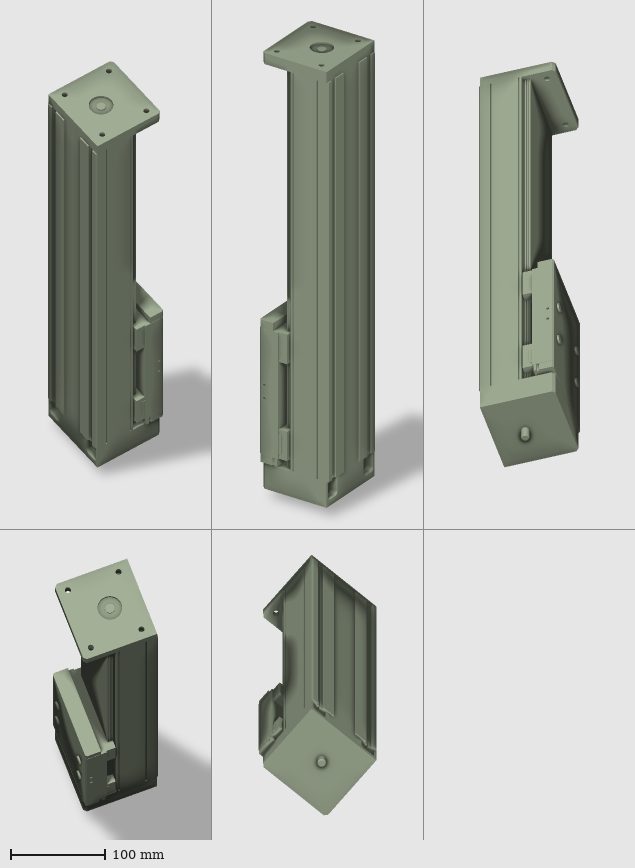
import cadquery as cq


total_length = 532.5
body_width = 90.0
front_y = -37.0
back_y = 46.5
end_edge_chamfer = 3.0

shaft_diameter = 9.0
shaft_length = 13.0
shaft_tip_chamfer = 1.0
block_height = 30.5
block_bottom_z = shaft_length
block_top_z = block_bottom_z + block_height
pocket_width = 18.0
pocket_height = 23.0
pocket_depth = 9.0
pocket_corner_radius = 5.0

plate_thickness = 13.5
plate_bottom_z = total_length - plate_thickness
plate_hole_diameter = 6.5
plate_hole_spacing_x = 68.5
plate_hole_spacing_y = 57.5
plate_hole_center_y = 6.0
bearing_recess_diameter = 26.0
bearing_recess_depth = 3.0
spindle_boss_diameter = 10.0
spindle_boss_height = 1.5

profile_length = plate_bottom_z - block_top_z
profile_front_y = -38.5
profile_back_y = 17.5
profile_edge_chamfer = 1.5
front_recess_width = 30.0
front_recess_depth = profile_edge_chamfer
center_mark_width = 0.5
center_mark_depth = 0.5
slot_x = 33.5
slot_mouth_width = 8.0
slot_throat_width = 1.5
slot_mouth_depth = 2.0
slot_total_depth = 6.5
side_groove_size = 1.5
side_groove_y = -24.5
rail_groove_size = 1.5
rail_groove_y = 6.5
land_groove_count = 3
back_land_width = 79.5
back_land_height = 8.0

carriage_width = 100.0
carriage_front_y = 22.5
carriage_length = 150.5
carriage_bottom_z = 56.0
carriage_top_z = carriage_bottom_z + carriage_length
carriage_mid_z = carriage_bottom_z + carriage_length / 2
carriage_edge_chamfer = 1.5
cap_width = 99.5
cap_length = 9.5
top_cap_front_y = 29.0
bottom_cap_front_y = 24.0
cap_groove_diameter = 3.25
cap_groove_y = 29.0
saddle_width = 97.0
saddle_length = 35.0
saddle_front_y = 11.5
lug_width = 98.0
lug_length = 23.5
lug_depth = 3.0
sleeve_diameter = 10.0
sleeve_height = 2.0
sleeve_spacing_x = 65.0
sleeve_spacing_z = 50.0
side_hole_diameter = 3.25
side_hole_depth = 5.5
side_hole_spacing = 16.0
side_hole_y = 40.0


def block_between(width, y_min, y_max, z_min, z_max):
    """Box centred on X with the given limits along Y and Z."""
    return cq.Workplane("XY").box(
        width, y_max - y_min, z_max - z_min, centered=(True, False, False)
    ).translate((0, y_min, z_min))


def end_body(z_min, z_max):
    """Rectangular end body with its two long +Y edges chamfered."""
    body = block_between(body_width, front_y, back_y, z_min, z_max)
    return body.edges("|Z and >Y").chamfer(end_edge_chamfer)


def make_drive_block():
    block = end_body(block_bottom_z, block_top_z)
    for side in (-1, 1):
        pocket = block_between(
            pocket_width, front_y, front_y + pocket_depth, block_top_z - pocket_height, block_top_z
        ).edges("|Y and <Z").fillet(pocket_corner_radius)
        block = block.cut(pocket.translate((side * slot_x, 0, 0)))
    shaft = (
        cq.Workplane("XY")
        .circle(shaft_diameter / 2)
        .extrude(shaft_length)
        .faces("<Z")
        .chamfer(shaft_tip_chamfer)
    )
    return block.union(shaft)


def make_end_plate():
    plate = end_body(plate_bottom_z, total_length)
    plate_holes = (
        cq.Workplane("XY", origin=(0, plate_hole_center_y, plate_bottom_z))
        .rect(plate_hole_spacing_x, plate_hole_spacing_y, forConstruction=True)
        .vertices()
        .circle(plate_hole_diameter / 2)
        .extrude(plate_thickness)
    )
    recess = (
        cq.Workplane("XY", origin=(0, 0, total_length - bearing_recess_depth))
        .circle(bearing_recess_diameter / 2)
        .extrude(bearing_recess_depth)
    )
    spindle_boss = (
        cq.Workplane("XY", origin=(0, 0, total_length - bearing_recess_depth))
        .circle(spindle_boss_diameter / 2)
        .extrude(spindle_boss_height)
    )
    return plate.cut(plate_holes).cut(recess).union(spindle_boss)


def profile_prism(points):
    """Closed outline in XY, extruded over the length of the profile."""
    return (
        cq.Workplane("XY", origin=(0, 0, block_top_z))
        .polyline(points)
        .close()
        .extrude(profile_length)
    )


def front_slot():
    """Stepped slot: a wide shallow mouth with a narrow throat in its floor."""
    mouth = block_between(
        slot_mouth_width, profile_front_y, profile_front_y + slot_mouth_depth, block_top_z, plate_bottom_z
    )
    throat = block_between(
        slot_throat_width, profile_front_y, profile_front_y + slot_total_depth, block_top_z, plate_bottom_z
    )
    return mouth.union(throat)


def side_grooves(width, center_y, size):
    """Square groove in each X side of a profile stretch of the given width."""
    outer = block_between(
        width, center_y - size / 2, center_y + size / 2, block_top_z, plate_bottom_z
    )
    core = block_between(
        width - 2 * size, center_y - size / 2, center_y + size / 2, block_top_z, plate_bottom_z
    )
    return outer.cut(core)


def make_profile():
    shoulder_y = profile_back_y - back_land_height
    profile = block_between(body_width, profile_front_y, shoulder_y, block_top_z, plate_bottom_z)
    profile = profile.edges("|Z and <Y").chamfer(profile_edge_chamfer)
    back_land = block_between(back_land_width, shoulder_y, profile_back_y, block_top_z, plate_bottom_z)
    profile = profile.union(back_land)
    recess_y = profile_front_y + front_recess_depth
    profile = profile.cut(
        block_between(front_recess_width, profile_front_y, recess_y, block_top_z, plate_bottom_z)
    )
    profile = profile.cut(profile_prism([
        (-center_mark_width / 2, recess_y),
        (center_mark_width / 2, recess_y),
        (0, recess_y + center_mark_depth),
    ]))
    for side in (-1, 1):
        profile = profile.cut(front_slot().translate((side * slot_x, 0, 0)))
    profile = profile.cut(side_grooves(body_width, side_groove_y, side_groove_size))
    profile = profile.cut(side_grooves(body_width, rail_groove_y, rail_groove_size))
    for index in range(land_groove_count):
        groove_y = shoulder_y + back_land_height * (index + 0.5) / land_groove_count
        profile = profile.cut(side_grooves(back_land_width, groove_y, rail_groove_size))
    return profile


def saddle(z_min):
    """Bearing saddle that sits on the back land of the profile and grips its two sides."""
    outer = block_between(
        saddle_width, saddle_front_y, carriage_front_y, z_min, z_min + saddle_length
    )
    seat = block_between(
        back_land_width, saddle_front_y, profile_back_y, z_min, z_min + saddle_length
    )
    return outer.cut(seat)


def make_carriage():
    table = block_between(
        carriage_width, carriage_front_y, back_y, carriage_bottom_z, carriage_top_z
    )
    top_cap = block_between(
        cap_width, top_cap_front_y, back_y, carriage_top_z, carriage_top_z + cap_length
    )
    bottom_cap = block_between(
        cap_width, bottom_cap_front_y, back_y, carriage_bottom_z - cap_length, carriage_bottom_z
    )
    carriage = table.edges("|Z and >Y").chamfer(carriage_edge_chamfer)
    for cap in (top_cap, bottom_cap):
        carriage = carriage.union(cap.edges("|Z and >Y").chamfer(carriage_edge_chamfer))

    for side in (-1, 1):
        groove = (
            cq.Workplane("XY", origin=(side * cap_width / 2, cap_groove_y, carriage_bottom_z - cap_length))
            .circle(cap_groove_diameter / 2)
            .extrude(cap_length)
        )
        carriage = carriage.cut(groove)

    lower_saddle_z = carriage_bottom_z
    upper_saddle_z = carriage_top_z - saddle_length
    carriage = carriage.union(saddle(lower_saddle_z)).union(saddle(upper_saddle_z))

    lug_z = lower_saddle_z + (saddle_length - lug_length) / 2
    lugs = block_between(
        lug_width, carriage_front_y - lug_depth, carriage_front_y, lug_z, lug_z + lug_length
    )
    carriage = carriage.union(lugs)

    sleeves = (
        cq.Workplane("XZ", origin=(0, back_y, carriage_mid_z))
        .rect(sleeve_spacing_x, sleeve_spacing_z, forConstruction=True)
        .vertices()
        .circle(sleeve_diameter / 2)
        .extrude(-sleeve_height)
    )
    carriage = carriage.union(sleeves)

    for side in (-1, 1):
        side_holes = (
            cq.Workplane("YZ", origin=(side * carriage_width / 2, side_hole_y, carriage_mid_z))
            .pushPoints([(0, -side_hole_spacing / 2), (0, side_hole_spacing / 2)])
            .circle(side_hole_diameter / 2)
            .extrude(-side * side_hole_depth)
        )
        carriage = carriage.cut(side_holes)
    return carriage


drive_block = make_drive_block()
end_plate = make_end_plate()
profile = make_profile()
carriage = make_carriage()

result = cq.Compound.makeCompound([
    drive_block.val(),
    end_plate.val(),
    profile.val(),
    carriage.val(),
])